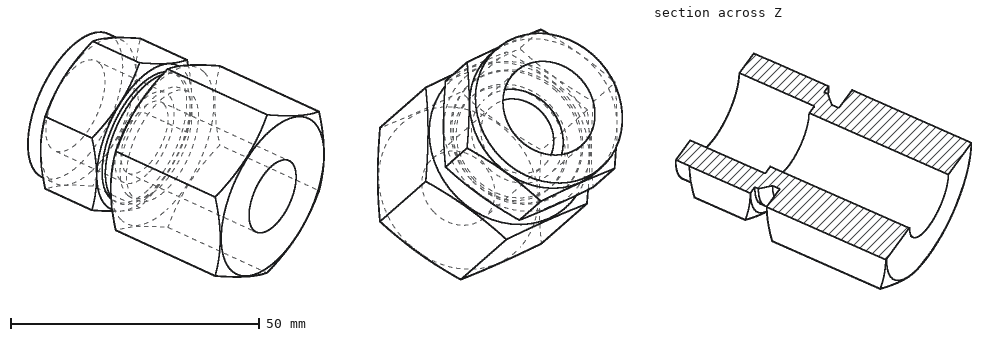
import cadquery as cq
import math

TOTAL_LENGTH = 49.7

COLLAR_DIAMETER = 31.9
COLLAR_LENGTH = 3.25
NUT_ACROSS_FLATS = 32.0
NUT_LENGTH = 14.15
NUT_END = COLLAR_LENGTH + NUT_LENGTH

SHOULDER_DIAMETER = 28.45
SHOULDER_LENGTH = 0.85
NECK_DIAMETER = 24.25
NECK_LENGTH = 1.6
CONE_ANGLE = 45.0
BODY_ACROSS_FLATS = 35.0
BODY_FACE_DIAMETER = 34.6

CORNER_CHAMFER_ANGLE = 25.0

SOCKET_DIAMETER = 20.0
SOCKET_DEPTH = NUT_END
THROUGH_DIAMETER = 15.85

cone_length = (SHOULDER_DIAMETER - NECK_DIAMETER) / 2 / math.tan(math.radians(CONE_ANGLE))
cone_start = NUT_END + SHOULDER_LENGTH
neck_start = cone_start + cone_length
body_start = neck_start + NECK_LENGTH


def revolve_about_x(profile):
    """Solid of revolution from (x, radius) points."""
    return cq.Workplane("XY").polyline(profile).close().revolve(360, (0, 0, 0), (1, 0, 0))


def cylinder(start, length, diameter):
    """Cylinder along X."""
    return cq.Workplane("YZ", origin=(start, 0, 0)).circle(diameter / 2).extrude(length)


def chamfered_hexagon(start, length, across_flats, face_diameter):
    """Hexagon along X, corners up and down, with conical chamfers at both ends."""
    corner_radius = across_flats / math.sqrt(3)
    face_radius = face_diameter / 2
    chamfer = (corner_radius - face_radius) * math.tan(math.radians(CORNER_CHAMFER_ANGLE))
    end = start + length
    prism = (
        cq.Workplane("YZ", origin=(start, 0, 0))
        .transformed(rotate=(0, 0, 90))
        .polygon(6, 2 * corner_radius)
        .extrude(length)
    )
    envelope = revolve_about_x([
        (start, 0),
        (start, face_radius),
        (start + chamfer, corner_radius),
        (end - chamfer, corner_radius),
        (end, face_radius),
        (end, 0),
    ])
    return prism.intersect(envelope)


collar = cylinder(0, COLLAR_LENGTH, COLLAR_DIAMETER)
nut = chamfered_hexagon(COLLAR_LENGTH, NUT_LENGTH, NUT_ACROSS_FLATS, COLLAR_DIAMETER)
neck = revolve_about_x([
    (NUT_END, 0),
    (NUT_END, SHOULDER_DIAMETER / 2),
    (cone_start, SHOULDER_DIAMETER / 2),
    (neck_start, NECK_DIAMETER / 2),
    (body_start, NECK_DIAMETER / 2),
    (body_start, 0),
])
body = chamfered_hexagon(
    body_start, TOTAL_LENGTH - body_start, BODY_ACROSS_FLATS, BODY_FACE_DIAMETER
)

socket = cylinder(0, SOCKET_DEPTH, SOCKET_DIAMETER)
through_hole = cylinder(0, TOTAL_LENGTH, THROUGH_DIAMETER)

result = collar.union(nut).union(neck).union(body).cut(socket).cut(through_hole)